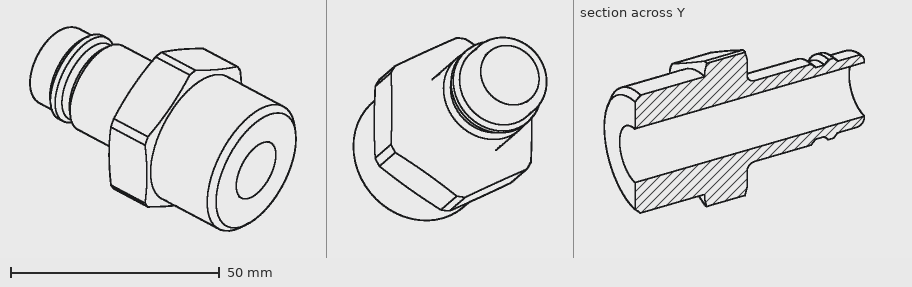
import cadquery as cq
import math

total_length = 63.0
bore_diameter = 15.0

nose_radius = 20.3 / 2
nose_rounding = 2.15
ring_radius = 22.6 / 2
ring_start = 7.3
ring_end = 11.1
shank_radius = 22.9 / 2
shank_start = 13.35
shank_root_fillet = 2.0

hex_start = 32.1
hex_width = 11.8
across_flats = 36.0
hex_corner_diameter = 40.3
hex_chamfer_angle = math.radians(15)
hex_end = hex_start + hex_width

body_radius = 33.25 / 2
body_chamfer = 1.5


def make_turned_body():
    """Revolve the round outline; all slopes beside the groove and ring are 45 degrees."""
    ring_rise = ring_radius - nose_radius
    shank_rise = shank_radius - nose_radius
    arc_offset = 1 - math.sqrt(0.5)
    return (
        cq.Workplane("XY")
        .moveTo(0, 0)
        .lineTo(0, nose_radius - nose_rounding)
        .threePointArc(
            (nose_rounding * arc_offset, nose_radius - nose_rounding * arc_offset),
            (nose_rounding, nose_radius),
        )
        .lineTo(ring_start, nose_radius)
        .lineTo(ring_start + ring_rise, ring_radius)
        .lineTo(ring_end - ring_rise, ring_radius)
        .lineTo(ring_end, nose_radius)
        .lineTo(shank_start, nose_radius)
        .lineTo(shank_start + shank_rise, shank_radius)
        .lineTo(hex_start - shank_root_fillet, shank_radius)
        .threePointArc(
            (
                hex_start - shank_root_fillet * arc_offset,
                shank_radius + shank_root_fillet * arc_offset,
            ),
            (hex_start, shank_radius + shank_root_fillet),
        )
        .lineTo(hex_start, body_radius)
        .lineTo(total_length - body_chamfer, body_radius)
        .lineTo(total_length, body_radius - body_chamfer)
        .lineTo(total_length, 0)
        .close()
        .revolve(360, (0, 0, 0), (1, 0, 0))
    )


def make_hexagon():
    """Hexagon with corners up and down, trimmed by a cylinder with conical ends."""
    face_radius = across_flats / 2
    corner_radius = hex_corner_diameter / 2
    chamfer_length = (corner_radius - face_radius) * math.tan(hex_chamfer_angle)
    circumscribed_diameter = across_flats / math.cos(math.pi / 6)
    prism = (
        cq.Workplane("YZ", origin=(hex_start, 0, 0))
        .transformed(rotate=(0, 0, 90))
        .polygon(6, circumscribed_diameter)
        .extrude(hex_width)
    )
    trimming_blank = (
        cq.Workplane("XY")
        .moveTo(hex_start, 0)
        .lineTo(hex_start, face_radius)
        .lineTo(hex_start + chamfer_length, corner_radius)
        .lineTo(hex_end - chamfer_length, corner_radius)
        .lineTo(hex_end, face_radius)
        .lineTo(hex_end, 0)
        .close()
        .revolve(360, (0, 0, 0), (1, 0, 0))
    )
    return prism.intersect(trimming_blank)


bore = cq.Workplane("YZ").circle(bore_diameter / 2).extrude(total_length)

result = make_turned_body().union(make_hexagon()).cut(bore)